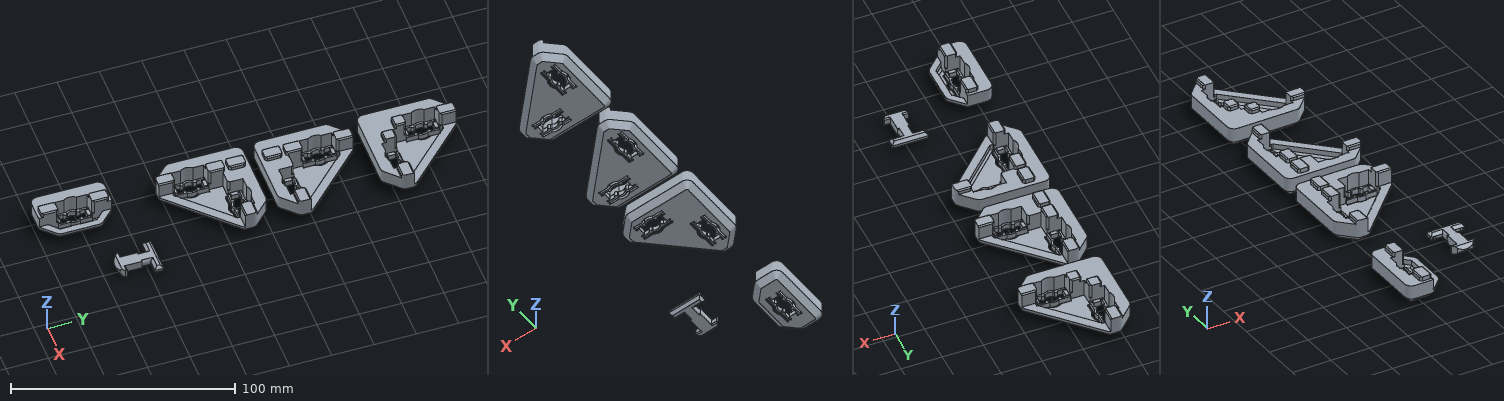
import cadquery as cq
import math

floor_z = 1.0
clip_z = 2.8
rim_z = 4.5
deck_z = 9.9
rail_z = 12.0
base_chamfer = 3.0
wall_base_chamfer = 1.0

corner_radius = 3.5
rail_center = 10.0
rail_width = 6.0
rail_inner = rail_center + rail_width / 2
rail_outer = rail_center - rail_width / 2
rail_chamfer = 0.5
rail_corner_cut = 1.0

slot_length = 16.0
slot_width = 8.3
slot_bulge_radius = 5.1
clip_width = 6.5
clip_bulge_radius = 4.0
key_length = 12.5
key_width = 4.7
key_bulge_radius = 3.0
tongue_width = 3.5
nub_diameter = 1.5
nub_offset = 3.2

plate_size = 43.5
plate_tip_cut = 8.0
tip_end = 13.6
slot_center = 27.7
corner_rim_width = 4.1
corner_pocket_end = 36.7
short_rail_start = 14.2
block_start = 2.0
block_end = 10.0
block_rail_start = 11.9
plain_plate_y = 154.0
block_plate_y = 105.3
mirrored_plate_top = 100.1

bar_length = 34.8
bar_width = 20.3
bar_corner_cut = 7.3
bar_rim_width = 3.2
bar_rail_margin = 1.4

key_x = 45.0
key_top = 45.0
key_thickness = 4.1
key_chamfer = 1.4
head_length = 17.8
head_depth = 4.3
head_corner_cut = 0.5
stem_width = 6.0
stem_round_length = 4.0
stem_end = 28.8
tail_end = 24.9
tail_width = 11.9
tail_shoulder = 1.0
tail_corner_cut = 2.0
tail_chamfer = 1.8
barb_chamfer = 0.5
head_nub_spread = 14.0
head_nub_reach = 0.4


def prism(points, bottom, top):
    return cq.Workplane("XY").workplane(offset=bottom).polyline(points).close().extrude(top - bottom)


def box(x_min, x_max, y_min, y_max, z_min, z_max):
    size = (x_max - x_min, y_max - y_min, z_max - z_min)
    return cq.Workplane("XY").box(*size, centered=False).translate((x_min, y_min, z_min))


def swap_xy(body):
    """Mirror a body across the plane X = Y."""
    return body.mirror("XY").rotate((0, 0, 0), (1, 1, 0), 180)


def bulged_bar(length, width, bulge_radius, height):
    """Bar along Y with a round bulge in the middle, standing on Z = 0."""
    bar = cq.Workplane("XY").rect(width, length).extrude(height)
    return bar.union(cq.Workplane("XY").circle(bulge_radius).extrude(height))


def slot_void():
    """Space around the clip, with the inner corners of the neighbouring rails cut off."""
    void = bulged_bar(slot_length, slot_width, slot_bulge_radius, rail_z)
    edge = rail_width / 2
    for side in (-1, 1):
        end = side * slot_length / 2
        corner = [(edge, end), (edge, end + side * rail_corner_cut), (edge - rail_corner_cut, end)]
        void = void.union(prism(corner, rim_z, rail_z))
    return void


def clip():
    """Two springy arms around a keyhole, with snap nubs, and an end tongue at each end."""
    arms = bulged_bar(slot_length, clip_width, clip_bulge_radius, clip_z)
    arms = arms.cut(bulged_bar(slot_length, key_width, key_bulge_radius, clip_z))
    nub_spots = [(i * key_width / 2, j * nub_offset) for i in (-1, 1) for j in (-1, 1)]
    nubs = cq.Workplane("XY").pushPoints(nub_spots).circle(nub_diameter / 2).extrude(clip_z)
    tongue_length = (slot_length - key_length) / 2
    tongue_spots = [(0, side * (slot_length - tongue_length) / 2) for side in (-1, 1)]
    tongues = (
        cq.Workplane("XY").pushPoints(tongue_spots).rect(tongue_width, tongue_length).extrude(clip_z)
    )
    return arms.union(nubs), tongues


def add_clip(body, along, across=False):
    """Cut a slot at a distance along a rail axis and put a clip in it."""
    spot = (rail_center, along, 0)
    arms, tongues = clip()
    place = swap_xy if across else (lambda part: part)
    body = body.cut(place(slot_void().translate(spot)))
    return body.union(place(arms.translate(spot))).union(place(tongues.translate(spot)))


def rail(start, end, sloped_start=False):
    """Rail along Y, from inside the deck to the full height."""
    bar = box(rail_outer, rail_inner, start, end, rim_z, rail_z).edges("|Z").chamfer(rail_corner_cut)
    bar = bar.edges("|Y and >Z").chamfer(rail_chamfer)
    if sloped_start:
        bar = bar.faces("<Y").edges(">Z").chamfer(rail_chamfer)
    return bar


def blank(outline):
    """Full-height block with rounded upright corners and a sloped bottom edge."""
    body = prism(outline, 0, rail_z).edges("|Z").fillet(corner_radius)
    return body.faces("<Z").chamfer(base_chamfer)


def corner_envelope():
    cut_end = plate_size - plate_tip_cut
    return blank([
        (0, 0), (cut_end, 0), (plate_size, plate_tip_cut), (plate_size, tip_end),
        (tip_end, plate_size), (plate_tip_cut, plate_size), (0, cut_end),
    ])


def corner_pocket():
    """Triangular pocket with both tips cut off and a slope at the foot of its long wall."""
    long_side = tip_end + plate_size - corner_rim_width * math.sqrt(2)
    tip = long_side - corner_pocket_end
    outline = [
        (rail_inner, rail_inner), (corner_pocket_end, rail_inner), (corner_pocket_end, tip),
        (tip, corner_pocket_end), (rail_inner, corner_pocket_end),
    ]
    pocket = prism(outline, floor_z, rim_z)
    return pocket.edges("<Z").edges("|(1,-1,0)").chamfer(wall_base_chamfer)


def corner_plate(rails):
    """L-shaped deck with a low long side, a pocket, two slots with clips, and the given rails."""
    envelope = corner_envelope()
    body = envelope.cut(box(0, plate_size, 0, plate_size, deck_z, rail_z))
    body = body.cut(box(rail_inner, plate_size, rail_inner, plate_size, rim_z, rail_z))
    body = body.cut(corner_pocket())
    tip_rail = rail(slot_center + slot_length / 2, plate_size + rail_corner_cut)
    for bar in rails + [tip_rail, swap_xy(tip_rail)]:
        body = body.union(bar.intersect(envelope))
    return add_clip(add_clip(body, slot_center), slot_center, across=True)


def plain_corner_plate():
    short_rail = rail(short_rail_start, slot_center - slot_length / 2, sloped_start=True)
    return corner_plate([short_rail, swap_xy(short_rail)])


def block_corner_plate():
    block = rail(block_start, block_end)
    return corner_plate([block, rail(block_rail_start, slot_center - slot_length / 2)])


def straight_pocket():
    """Trapezoid pocket beside the rails, with a slope at the foot of its three walls."""
    wall_x = bar_width - bar_rim_width
    corner_y = bar_corner_cut + bar_rim_width * math.tan(math.pi / 8)
    start_y = corner_y - (wall_x - rail_inner)
    outline = [
        (rail_inner, start_y), (wall_x, corner_y),
        (wall_x, bar_length - corner_y), (rail_inner, bar_length - start_y),
    ]
    return prism(outline, floor_z, rim_z).faces("<Z").edges("not <X").chamfer(wall_base_chamfer)


def straight_plate():
    cut_x = bar_width - bar_corner_cut
    body = blank([
        (0, 0), (cut_x, 0), (bar_width, bar_corner_cut), (bar_width, bar_length - bar_corner_cut),
        (cut_x, bar_length), (0, bar_length),
    ])
    body = body.cut(box(0, bar_width, 0, bar_length, deck_z, rail_z))
    body = body.cut(box(rail_inner, bar_width, 0, bar_length, rim_z, rail_z))
    body = body.cut(straight_pocket())
    middle = bar_length / 2
    body = body.union(rail(bar_rail_margin, middle - slot_length / 2))
    body = body.union(rail(middle + slot_length / 2, bar_length - bar_rail_margin))
    return add_clip(body, middle)


def key_head():
    """Sloped crossbar with two snap nubs on its inner side."""
    bottom = key_top - head_depth
    bar = box(-head_length / 2, head_length / 2, bottom, key_top, 0, key_thickness)
    head = bar.faces("<Z or >Z").edges().chamfer(key_chamfer)
    head = head.intersect(bar.edges("|Z").chamfer(head_corner_cut))
    nub_y = bottom + nub_diameter / 2 - head_nub_reach
    nubs = (
        cq.Workplane("XY").workplane(offset=key_chamfer)
        .pushPoints([(side * head_nub_spread / 2, nub_y) for side in (-1, 1)])
        .circle(nub_diameter / 2).extrude(key_thickness - 2 * key_chamfer)
    )
    return head.union(nubs)


def key_stem():
    """Flat stem whose neck under the head is turned round."""
    half = stem_width / 2
    neck_top = key_top - head_depth / 2
    neck_bottom = key_top - head_depth - stem_round_length
    flat_stem = box(-half, half, stem_end, neck_bottom, 0, key_thickness)
    neck = (
        cq.Workplane("XZ", origin=(0, neck_top, key_thickness / 2))
        .circle(half).extrude(neck_top - neck_bottom)
    )
    neck = neck.intersect(box(-half, half, neck_bottom, neck_top, 0, key_thickness))
    return flat_stem.union(neck)


def key_tail():
    """Round-nosed barbed tail, sloped above and below towards both ends."""
    half = tail_width / 2
    shoulder_y = stem_end - tail_shoulder
    nose_half = half - tail_corner_cut
    nose_y = shoulder_y - tail_corner_cut
    plan = (
        cq.Workplane("XY").moveTo(-half, stem_end).lineTo(-half, shoulder_y).lineTo(-nose_half, nose_y)
        .threePointArc((0, tail_end), (nose_half, nose_y))
        .lineTo(half, shoulder_y).lineTo(half, stem_end).close()
        .extrude(key_thickness)
    )
    slope_y = tail_end + tail_chamfer
    profile = [
        (tail_end, tail_chamfer), (slope_y, 0), (stem_end - barb_chamfer, 0),
        (stem_end, barb_chamfer), (stem_end, key_thickness - barb_chamfer),
        (stem_end - barb_chamfer, key_thickness), (slope_y, key_thickness),
        (tail_end, key_thickness - tail_chamfer),
    ]
    side = cq.Workplane("YZ").polyline(profile).close().extrude(half, both=True)
    stem_root = box(-stem_width / 2, stem_width / 2, stem_end - barb_chamfer, stem_end, 0, key_thickness)
    return plan.intersect(side).union(stem_root)


def t_key():
    return key_head().union(key_stem()).union(key_tail()).translate((key_x, 0, 0))


plain_plate = plain_corner_plate().translate((0, plain_plate_y, 0))
block_plate = block_corner_plate().translate((0, block_plate_y, 0))
mirrored_plate = block_corner_plate().mirror("XZ").translate((0, mirrored_plate_top, 0))
short_plate = straight_plate()
key = t_key()

result = cq.Compound.makeCompound(
    [plain_plate.val(), block_plate.val(), mirrored_plate.val(), short_plate.val(), key.val()]
)